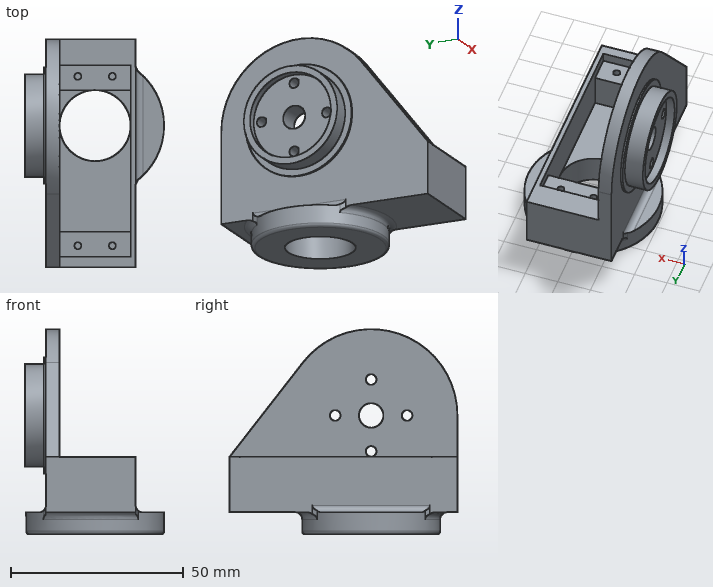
import cadquery as cq
import math


plate_thickness = 4.0
plate_radius = 25.0
axis_height = 28.0

box_width = 26.0
box_height = 16.0
box_back_y = plate_radius
box_length = 66.0
box_front_y = box_back_y - box_length

floor_thickness = 2.5
side_wall = 1.5
front_wall = 3.0
pocket_length = 55.5
ledge_length = 7.25
ledge_drop = 3.0
pocket_width = box_width - plate_thickness - side_wall
pocket_front_y = box_front_y + front_wall
pocket_center_x = plate_thickness + pocket_width / 2
pocket_center_y = pocket_front_y + pocket_length / 2
pocket_depth = box_height - floor_thickness

screw_diameter = 2.0
screw_spacing_x = 10.0
screw_spacing_y = 49.0
screw_depth = pocket_depth - ledge_drop

foot_radius = 20.0
foot_height = 6.42
foot_bore_diameter = pocket_width
foot_edge_radius = 1.0
blend_radius = 2.0
blend_sag = blend_radius * (1 - math.sqrt(0.5))

corner_reach_x = 0.7
corner_reach_y = 0.8

flange_diameter = 33.8
flange_height = 0.6
hub_diameter = 29.8
hub_height = 6.1
recess_diameter = 25.8
recess_depth = 2.5
shaft_diameter = 7.0
bolt_diameter = 3.0
bolt_circle_radius = 10.4
bolt_count = 4


def x_cylinder(diameter, x_start, x_end, y=0.0, z=axis_height):
    """Cylinder along X between two X positions."""
    return (
        cq.Workplane("YZ", origin=(x_start, y, z))
        .circle(diameter / 2)
        .extrude(x_end - x_start)
    )


def make_plate():
    """Upright plate: round top running tangentially down to the front top edge of the box."""
    corner_distance = math.hypot(box_front_y, box_height - axis_height)
    corner_angle = math.atan2(box_height - axis_height, box_front_y)
    tangent_angle = corner_angle - math.acos(plate_radius / corner_distance)
    tangent_point = (
        plate_radius * math.cos(tangent_angle),
        axis_height + plate_radius * math.sin(tangent_angle),
    )
    return (
        cq.Workplane("YZ")
        .moveTo(box_front_y, 0)
        .lineTo(box_back_y, 0)
        .lineTo(box_back_y, axis_height)
        .threePointArc((0, axis_height + plate_radius), tangent_point)
        .lineTo(box_front_y, box_height)
        .close()
        .extrude(plate_thickness)
    )


def make_box():
    box = cq.Workplane("XY").box(box_width, box_length, box_height, centered=False)
    return box.translate((0, box_front_y, 0))


def make_foot_disc(top_z):
    """Foot disc with a rounded bottom edge, reaching up to the given height."""
    return (
        cq.Workplane("XY", origin=(pocket_center_x, 0, -foot_height))
        .circle(foot_radius)
        .extrude(foot_height + top_z)
        .faces("<Z")
        .edges()
        .fillet(foot_edge_radius)
    )


def make_flare():
    """Disc whose concave rim widens upward from the foot rim to the box underside."""
    profile = (
        cq.Workplane("XZ")
        .moveTo(0, -blend_radius)
        .lineTo(foot_radius, -blend_radius)
        .threePointArc((foot_radius + blend_sag, -blend_sag), (foot_radius + blend_radius, 0))
        .lineTo(0, 0)
        .close()
    )
    return profile.revolve(360, (0, 0, 0), (0, 1, 0)).translate((pocket_center_x, 0, 0))


def make_side_bar():
    """Bar through the box whose concave sides blend the box walls into the top of the foot."""
    return (
        cq.Workplane("XZ")
        .moveTo(-blend_radius, 0)
        .threePointArc((-blend_sag, blend_sag), (0, blend_radius))
        .lineTo(box_width, blend_radius)
        .threePointArc((box_width + blend_sag, blend_sag), (box_width + blend_radius, 0))
        .close()
        .extrude(foot_radius, both=True)
    )


def corner_cut_points(x_wall, outward):
    """Ends (x, y) of the straight cut across a foot corner: on the wall, and extended into the foot."""
    wall_offset = abs(x_wall - pocket_center_x)
    wall_y = math.sqrt(foot_radius**2 - wall_offset**2) + corner_reach_y
    rim_y = math.sqrt(foot_radius**2 - (wall_offset + corner_reach_x) ** 2)
    slope = (wall_y - rim_y) / corner_reach_x
    inner_point = (x_wall + outward * blend_radius, wall_y - slope * blend_radius)
    return (x_wall, wall_y), inner_point


def make_corner_outline(y_side):
    """Upright prism holding the blends at one Y end of the foot, with a straight cut at each corner."""
    left_wall, left_inner = corner_cut_points(0, -1)
    right_wall, right_inner = corner_cut_points(box_width, 1)
    points = [
        (0, box_back_y),
        left_wall,
        left_inner,
        right_inner,
        right_wall,
        (box_width, box_back_y),
    ]
    return (
        cq.Workplane("XY", origin=(0, 0, -blend_radius))
        .polyline([(x, y_side * y) for x, y in points])
        .close()
        .extrude(2 * blend_radius)
    )


def make_box_on_foot():
    """Solid box joined to the foot, with concave blends all round the joint."""
    flare = make_flare()
    side_bar = make_side_bar()
    foot = make_foot_disc(0)
    side_blends = side_bar.intersect(make_foot_disc(blend_radius))
    for y_side in (1, -1):
        corner_outline = make_corner_outline(y_side)
        foot = foot.union(flare.intersect(corner_outline))
        side_blends = side_blends.union(side_bar.intersect(corner_outline))
    return foot.union(make_box().union(side_blends))


def make_pocket():
    """Space for the servo: a shallow full-length opening above a deeper body well."""
    opening = cq.Workplane("XY").box(
        pocket_width, pocket_length, ledge_drop, centered=(True, True, False)
    )
    well = cq.Workplane("XY").box(
        pocket_width, pocket_length - 2 * ledge_length, pocket_depth, centered=(True, True, False)
    )
    opening = opening.translate((pocket_center_x, pocket_center_y, box_height - ledge_drop))
    well = well.translate((pocket_center_x, pocket_center_y, floor_thickness))
    return opening.union(well)


def make_screw_holes():
    ledge_top = box_height - ledge_drop
    return (
        cq.Workplane("XY", origin=(pocket_center_x, pocket_center_y, ledge_top))
        .rarray(screw_spacing_x, screw_spacing_y, 2, 2)
        .circle(screw_diameter / 2)
        .extrude(-screw_depth)
    )


def make_foot_bore():
    return (
        cq.Workplane("XY", origin=(pocket_center_x, 0, -foot_height))
        .circle(foot_bore_diameter / 2)
        .extrude(foot_height + floor_thickness)
    )


def make_hub():
    flange = x_cylinder(flange_diameter, -flange_height, 0)
    hub = x_cylinder(hub_diameter, -hub_height, 0)
    return flange.union(hub)


def make_hub_holes():
    """Recess, shaft hole and ring of bolt holes."""
    holes = x_cylinder(recess_diameter, -hub_height, recess_depth - hub_height)
    holes = holes.union(x_cylinder(shaft_diameter, -hub_height, plate_thickness))
    for index in range(bolt_count):
        angle = 2 * math.pi * index / bolt_count
        y = bolt_circle_radius * math.cos(angle)
        z = axis_height + bolt_circle_radius * math.sin(angle)
        holes = holes.union(x_cylinder(bolt_diameter, -hub_height, plate_thickness, y, z))
    return holes


body = make_box_on_foot()
body = body.union(make_plate()).union(make_hub())
body = body.cut(make_pocket()).cut(make_screw_holes()).cut(make_foot_bore())
result = body.cut(make_hub_holes())